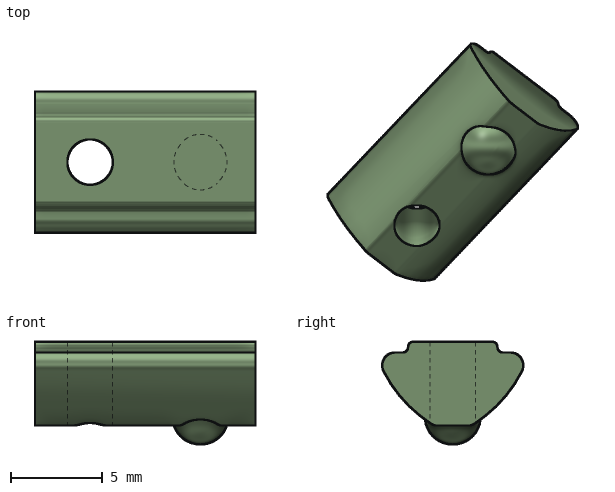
import cadquery as cq
import math

length = 12.0
width = 7.69
body_height = 4.57
total_height = 5.6

shoulder_depth = 0.59
land_half_width = 2.44
step_radius = shoulder_depth / 2

wing_radius = 0.71
wing_sweep = math.radians(27)
flank_radius = 7.32
bottom_radius = 0.6

hole_diameter = 2.46
hole_x = length / 4
ball_diameter = 3.05
ball_x = length * 3 / 4


def on_circle(center, radius, angle):
    """Point on a circle, with the angle measured upward from +Y."""
    return (center[0] + radius * math.cos(angle), center[1] + radius * math.sin(angle))


def make_body():
    """Extrude the symmetric section, whose wing, flank and bottom arcs are tangent."""
    wing_center = (width / 2 - wing_radius, -shoulder_depth - wing_radius)
    flank_center = on_circle(wing_center, wing_radius - flank_radius, -wing_sweep)
    bottom_center_z = bottom_radius - body_height
    flank_end = math.asin((bottom_center_z - flank_center[1]) / (flank_radius - bottom_radius))
    bottom_center = on_circle(flank_center, flank_radius - bottom_radius, flank_end)
    convex_center = (land_half_width - step_radius, -step_radius)
    concave_center = (land_half_width + step_radius, -step_radius)

    arcs = [
        (convex_center, step_radius, math.pi / 2, 0),
        (concave_center, step_radius, math.pi, math.pi * 3 / 2),
        (wing_center, wing_radius, math.pi / 2, -wing_sweep),
        (flank_center, flank_radius, -wing_sweep, flank_end),
        (bottom_center, bottom_radius, flank_end, -math.pi / 2),
    ]

    half = cq.Workplane("YZ")
    for center, radius, start, end in arcs:
        arc_start = on_circle(center, radius, start)
        arc_middle = on_circle(center, radius, (start + end) / 2)
        arc_end = on_circle(center, radius, end)
        if center in (convex_center, wing_center):
            half = half.lineTo(*arc_start)
        half = half.threePointArc(arc_middle, arc_end)
    section = half.lineTo(0, -body_height).mirrorY()
    return section.extrude(length)


def make_ball():
    """Ball seated in the underside and protruding below it."""
    ball_radius = ball_diameter / 2
    return cq.Workplane("XY").sphere(ball_radius).translate((ball_x, 0, ball_radius - total_height))


def make_hole():
    """Vertical hole through the full body."""
    hole = cq.Workplane("XY").center(hole_x, 0).circle(hole_diameter / 2)
    return hole.extrude(-body_height)


result = make_body().union(make_ball()).cut(make_hole())